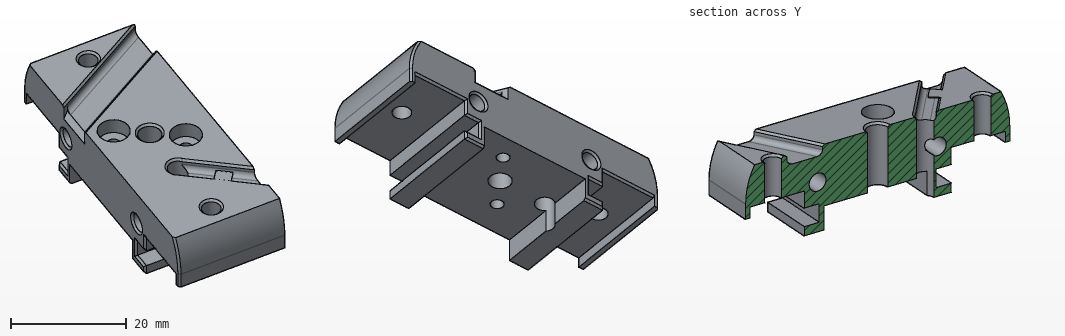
import cadquery as cq
import math

LENGTH = 55.0
WIDTH = 21.0
HEIGHT = 16.66
FRONT_Y = -WIDTH / 2
BACK_Y = WIDTH / 2

TOP_HALF = 25.62
ARC_DEPTH = 7.1
LIP_DEPTH = 10.1
LIP_WALL = 1.0
UNDERSIDE_DEPTH = 8.0
RAIL_HALF = 15.3
RAIL_STEP_DEPTH = 11.3
SLOT_HALF = 12.2
SLOT_FLOOR_DEPTH = 14.8
HOOK_INNER_HALF = 11.15
CORE_DEPTH = 12.0
FRONT_CHAMFER = 0.4

RIM_CHAMFER = 0.4
HOLE_ROW_Y = -0.87
END_HOLE_X = 21.75
END_HOLE_DIAMETER = 3.4
GROOVE_HOLE_X = 9.88
GROOVE_HOLE_DIAMETER = 3.6
CENTRE_HOLE_DIAMETER = 4.2
SCREW_OFFSET_X = 3.5
SCREW_OFFSET_Y = 5.2
SCREW_DIAMETER = 2.4
SCREW_HEAD_DIAMETER = 5.7
SCREW_HEAD_DEPTH = 3.0
CROSS_HOLE_X = 12.5
CROSS_HOLE_DEPTH = 7.0
CROSS_HOLE_DIAMETER = 3.4

GROOVE_DEPTH = 2.0
GROOVE_FILLET = 1.0
WIDE_GROOVE_WIDTH = 6.3
WIDE_GROOVE_ANGLE = 120.2
WIDE_GROOVE_FRONT_X = -9.56
RAMP_DEPTH = 3.0
RAMP_LENGTH = 1.0
NARROW_GROOVE_WIDTH = 3.5
NARROW_GROOVE_ANGLE = 51.3
TAB_START = 6.67
TAB_LENGTH = 3.05
TAB_REACH = 0.13
TAB_THICKNESS = 0.2
TAB_CORNER_RADIUS = 0.3

CUT_MARGIN = 5.0
TOLERANCE = 0.01


def make_body():
    """Extrude the symmetric cross-section along Y."""
    half = LENGTH / 2
    arc_rise = half - TOP_HALF
    arc_radius = (arc_rise**2 + ARC_DEPTH**2) / (2 * arc_rise)
    mid_angle = math.atan2(ARC_DEPTH, arc_radius - arc_rise) / 2
    arc_mid_x = half - arc_radius * (1 - math.cos(mid_angle))
    arc_mid_z = -ARC_DEPTH + arc_radius * math.sin(mid_angle)
    right_side = [
        (half, -LIP_DEPTH),
        (half - LIP_WALL, -LIP_DEPTH),
        (half - LIP_WALL, -UNDERSIDE_DEPTH),
        (RAIL_HALF, -UNDERSIDE_DEPTH),
        (RAIL_HALF, -RAIL_STEP_DEPTH),
        (SLOT_HALF, -RAIL_STEP_DEPTH),
        (SLOT_HALF, -SLOT_FLOOR_DEPTH),
        (RAIL_HALF, -SLOT_FLOOR_DEPTH),
        (RAIL_HALF, -HEIGHT),
        (HOOK_INNER_HALF, -HEIGHT),
        (HOOK_INNER_HALF, -CORE_DEPTH),
    ]
    outline = cq.Workplane("XZ", origin=(0, BACK_Y, 0)).moveTo(-TOP_HALF, 0).lineTo(TOP_HALF, 0)
    outline = outline.threePointArc((arc_mid_x, arc_mid_z), (half, -ARC_DEPTH))
    for x, z in right_side:
        outline = outline.lineTo(x, z)
    for x, z in reversed(right_side):
        outline = outline.lineTo(-x, z)
    outline = outline.lineTo(-half, -ARC_DEPTH)
    outline = outline.threePointArc((-arc_mid_x, arc_mid_z), (-TOP_HALF, 0))
    return outline.close().extrude(WIDTH)


def is_chamfered(edge):
    """True for front edges on the outer flanks, the underside and the rail hooks."""
    middle = edge.Center()
    x = abs(middle.x)
    on_top = middle.z > -TOLERANCE
    on_core = x < HOOK_INNER_HALF + TOLERANCE
    below_underside = middle.z < -UNDERSIDE_DEPTH - TOLERANCE
    inside_lip = RAIL_HALF + TOLERANCE < x < LENGTH / 2 - TOLERANCE
    on_lip_inside = below_underside and inside_lip
    return not (on_top or on_core or on_lip_inside)


def chamfer_front(body):
    """Bevel the selected edges of the front face."""
    edges = [edge for edge in body.faces("<Y").edges().vals() if is_chamfered(edge)]
    return body.newObject(edges).chamfer(FRONT_CHAMFER)


def chamfered_hole(diameter, length):
    """Cutter along -Z from the origin, widened at its mouth."""
    bore = cq.Workplane("XY").circle(diameter / 2).extrude(-length)
    mouth = (
        cq.Workplane("XY")
        .circle(diameter / 2 + RIM_CHAMFER)
        .workplane(offset=-RIM_CHAMFER)
        .circle(diameter / 2)
        .loft(ruled=True)
    )
    return bore.union(mouth)


def cut_holes(body):
    """Cut the row of top holes, the cross holes and the counterbored screw holes."""
    top_holes = [
        (-END_HOLE_X, END_HOLE_DIAMETER),
        (0, CENTRE_HOLE_DIAMETER),
        (GROOVE_HOLE_X, GROOVE_HOLE_DIAMETER),
        (END_HOLE_X, END_HOLE_DIAMETER),
    ]
    for x, diameter in top_holes:
        body = body.cut(chamfered_hole(diameter, HEIGHT).translate((x, HOLE_ROW_Y, 0)))

    cross_hole = chamfered_hole(CROSS_HOLE_DIAMETER, WIDTH).rotate((0, 0, 0), (1, 0, 0), 90)
    for side in (-1, 1):
        body = body.cut(cross_hole.translate((side * CROSS_HOLE_X, FRONT_Y, -CROSS_HOLE_DEPTH)))

    screw = cq.Workplane("XY").circle(SCREW_DIAMETER / 2).extrude(-HEIGHT)
    screw = screw.union(cq.Workplane("XY").circle(SCREW_HEAD_DIAMETER / 2).extrude(-SCREW_HEAD_DEPTH))
    for side in (-1, 1):
        body = body.cut(screw.translate((side * SCREW_OFFSET_X, HOLE_ROW_Y + side * SCREW_OFFSET_Y, 0)))
    return body


def groove_cutter(width, start, length):
    """Groove along +X with chamfered rims and rounded floor corners."""
    half = width / 2
    rim = half + RIM_CHAMFER
    floor_half = half - GROOVE_FILLET
    fillet_top = GROOVE_FILLET - GROOVE_DEPTH
    sag = GROOVE_FILLET * (1 - math.sqrt(0.5))
    return (
        cq.Workplane("YZ", origin=(start, 0, 0))
        .moveTo(-rim, 0)
        .lineTo(-half, -RIM_CHAMFER)
        .lineTo(-half, fillet_top)
        .threePointArc((sag - half, sag - GROOVE_DEPTH), (-floor_half, -GROOVE_DEPTH))
        .lineTo(floor_half, -GROOVE_DEPTH)
        .threePointArc((half - sag, sag - GROOVE_DEPTH), (half, fillet_top))
        .lineTo(half, -RIM_CHAMFER)
        .lineTo(rim, 0)
        .close()
        .extrude(length)
    )


def cut_wide_groove(body):
    """Slanted groove across the full width, with a ramp down to the front face."""
    slant = math.radians(WIDE_GROOVE_ANGLE)
    run = WIDTH / math.sin(slant) + 2 * CUT_MARGIN
    groove = groove_cutter(WIDE_GROOVE_WIDTH, -CUT_MARGIN, run)
    channel = cq.Workplane("XY").box(run, WIDE_GROOVE_WIDTH, RAMP_DEPTH, centered=(False, True, False))
    channel = channel.translate((-CUT_MARGIN, 0, -RAMP_DEPTH))
    position = (WIDE_GROOVE_FRONT_X, FRONT_Y, 0)
    groove = groove.rotate((0, 0, 0), (0, 0, 1), WIDE_GROOVE_ANGLE).translate(position)
    channel = channel.rotate((0, 0, 0), (0, 0, 1), WIDE_GROOVE_ANGLE).translate(position)

    ramp_end_y = FRONT_Y + RAMP_LENGTH
    ramp = (
        cq.Workplane("YZ", origin=(-LENGTH / 2, 0, 0))
        .moveTo(FRONT_Y, 0)
        .lineTo(FRONT_Y, -RAMP_DEPTH)
        .lineTo(ramp_end_y, -GROOVE_DEPTH)
        .lineTo(ramp_end_y, -RIM_CHAMFER)
        .lineTo(FRONT_Y, -RIM_CHAMFER)
        .close()
        .extrude(LENGTH / 2)
    )
    return body.cut(groove).cut(ramp.intersect(channel))


def cut_narrow_groove(body):
    """Slanted groove from its hole to the back face, bridged in part by a thin tab."""
    slant = math.radians(NARROW_GROOVE_ANGLE)
    run = (BACK_Y - HOLE_ROW_Y) / math.sin(slant) + CUT_MARGIN
    groove = groove_cutter(NARROW_GROOVE_WIDTH, 0, run)
    outer_y = -NARROW_GROOVE_WIDTH / 2 - RIM_CHAMFER
    tab = (
        cq.Workplane("XY")
        .box(TAB_LENGTH, TAB_REACH - outer_y, TAB_THICKNESS, centered=False)
        .edges("|Z and >Y")
        .fillet(TAB_CORNER_RADIUS)
        .translate((TAB_START, outer_y, -TAB_THICKNESS))
    )
    groove = groove.cut(tab).rotate((0, 0, 0), (0, 0, 1), NARROW_GROOVE_ANGLE)
    return body.cut(groove.translate((GROOVE_HOLE_X, HOLE_ROW_Y, 0)))


result = make_body()
result = chamfer_front(result)
result = cut_wide_groove(result)
result = cut_narrow_groove(result)
result = cut_holes(result)